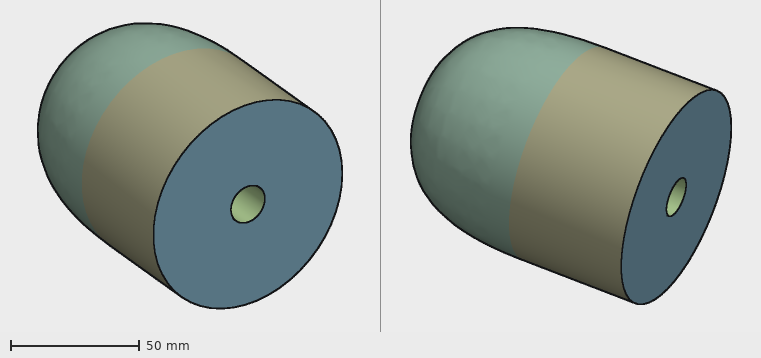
import cadquery as cq
import math

length = 107.1
body_radius = 89.0 / 2
body_length = 50.0
bore_radius = 16.0 / 2
lip_radius = 10.0
rim_radius = 22.8
nose_tangent_length = 15.0
body_tangent_length = 35.3

lip_center_radius = bore_radius + lip_radius
rim_angle = math.asin((rim_radius - lip_center_radius) / lip_radius)


def lip_point(angle):
    """Point (x, radius) on the lip arc, with the angle measured from the nose outwards."""
    x = lip_radius * (1 - math.cos(angle))
    radius = lip_center_radius + lip_radius * math.sin(angle)
    return (x, radius)


throat = lip_point(-math.pi / 2)
lip_middle = lip_point(-math.pi / 4)
rim = lip_point(rim_angle)

shoulder = (length - body_length, body_radius)
rim_handle = (
    rim[0] + nose_tangent_length * math.sin(rim_angle),
    rim[1] + nose_tangent_length * math.cos(rim_angle),
)
shoulder_handle = (shoulder[0] - body_tangent_length, body_radius)

profile = (
    cq.Workplane("XY")
    .moveTo(length, bore_radius)
    .lineTo(*throat)
    .threePointArc(lip_middle, rim)
    .bezier([rim, rim_handle, shoulder_handle, shoulder])
    .lineTo(length, body_radius)
    .close()
)

result = profile.revolve(360, (0, 0, 0), (1, 0, 0))